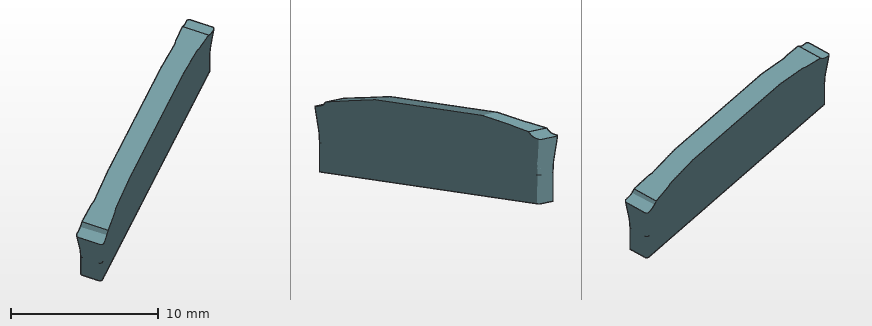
import cadquery as cq
import math

tip_half_length = 9.97
body_height = 5.54
core_width = 1.6
corner_radius = 0.2
pick_margin = 0.02

clearance_angle = math.radians(7.7)
tip_height = 4.5
wall_bend_height = 2.7
wall_bend_radius = 3.8
wall_half_length = tip_half_length - (tip_height - wall_bend_height) * math.tan(clearance_angle)

land_length = 0.37
land_end_height = 4.55
groove_end_inset = 0.97
groove_end_height = 4.85
ridge_inset = 1.03
ridge_height = 4.92
crown_half_length = 4.73

flare_apex_inset = 2.48
flare_apex_height = 4.21
flare_run_angle = math.radians(47.7)
flare_back_angle = math.radians(15.5)
flare_bottom_height = 2.0
flare_rise = 0.071
flare_reach = 30.0


def make_profile(width):
    """Side outline in the YZ plane, extruded evenly about X = 0."""
    right_half = (
        cq.Workplane("YZ")
        .lineTo(wall_half_length, 0)
        .lineTo(wall_half_length, wall_bend_height)
        .lineTo(tip_half_length, tip_height)
        .lineTo(tip_half_length - land_length, land_end_height)
        .tangentArcPoint((tip_half_length - groove_end_inset, groove_end_height), relative=False)
        .lineTo(tip_half_length - ridge_inset, ridge_height)
        .lineTo(crown_half_length, body_height)
        .lineTo(0, body_height)
        .close()
        .extrude(width / 2, both=True)
    )
    bend = cq.selectors.BoxSelector(
        (-width, wall_half_length - pick_margin, wall_bend_height - pick_margin),
        (width, wall_half_length + pick_margin, wall_bend_height + pick_margin),
    )
    right_half = right_half.edges(bend).fillet(wall_bend_radius)
    return right_half.union(right_half.mirror("XZ")).clean()


def make_flare():
    """Three-sided pyramid with its apex on the +X core side, opening toward the +Y tip."""
    apex = cq.Vector(core_width / 2, tip_half_length - flare_apex_inset, flare_apex_height)
    lower_border = cq.Vector(0, math.cos(flare_run_angle), -math.sin(flare_run_angle))
    rear_border = cq.Vector(0, -math.sin(flare_back_angle), math.cos(flare_back_angle))
    crease = cq.Vector(flare_rise, 0, 1)
    low, rear, outer = [apex + way * flare_reach for way in (lower_border, rear_border, crease)]
    corner_sets = [(apex, low, rear), (apex, low, outer), (apex, rear, outer), (low, rear, outer)]
    faces = [cq.Face.makeFromWires(cq.Wire.makePolygon(c, close=True)) for c in corner_sets]
    return cq.Workplane(cq.Solid.makeSolid(cq.Shell.makeShell(faces)))


def add_flares(core, stock):
    """Join the part of each flare that lies inside the side outline."""
    flare = make_flare().intersect(stock)
    pair = flare.union(flare.mirror("YZ"))
    return core.union(pair).union(pair.mirror("XZ")).clean()


def round_end_corners(body):
    """Round the standing corner edges of both end walls."""
    for end in (-1, 1):
        for side in (-1, 1):
            corner = cq.selectors.BoxSelector(
                (side * core_width / 4, end * (wall_half_length - pick_margin), -pick_margin),
                (side * core_width, end * (tip_half_length - pick_margin), tip_height - pick_margin),
            )
            body = body.edges(corner).fillet(corner_radius)
    return body


def keep_heights(body, bottom, top):
    """Part of the body between two heights."""
    slab_size = (4 * core_width, 4 * tip_half_length, top - bottom)
    slab = cq.Workplane("XY").box(*slab_size, centered=(True, True, False))
    return body.intersect(slab.translate((0, 0, bottom)))


core = make_profile(core_width)
stock = make_profile(2 * core_width)
foot = round_end_corners(keep_heights(core, 0, flare_bottom_height))
head = round_end_corners(keep_heights(add_flares(core, stock), flare_bottom_height, body_height))
result = foot.union(head).solids()